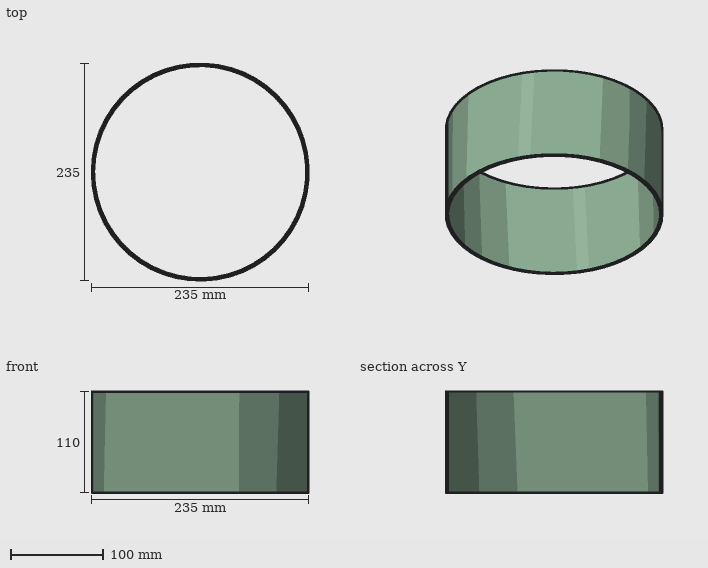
import cadquery as cq

outer_diameter = 235.0
wall_thickness = 2.5
height = 110.0
outer_chamfer = 0.5
inner_chamfer = 0.2
slit_angle = 1.0

FULL_TURN = 360.0
outer_radius = outer_diameter / 2
inner_radius = outer_radius - wall_thickness


def make_wall_section():
    """Wall cross-section on the -X side of the axis, with chamfered rim corners."""
    return (
        cq.Sketch()
        .push([(-(outer_radius + inner_radius) / 2, height / 2)])
        .rect(wall_thickness, height)
        .reset()
        .vertices("<X")
        .chamfer(outer_chamfer)
        .reset()
        .vertices(">X")
        .chamfer(inner_chamfer)
    )


def make_split_ring():
    """Revolve the wall section about Z, stopping short of a full turn to leave the slit."""
    axis_start = (0, 0, 0)
    axis_end = (0, 1, 0)
    return (
        cq.Workplane("XZ")
        .placeSketch(make_wall_section())
        .revolve(FULL_TURN - slit_angle, axis_start, axis_end)
    )


result = make_split_ring()